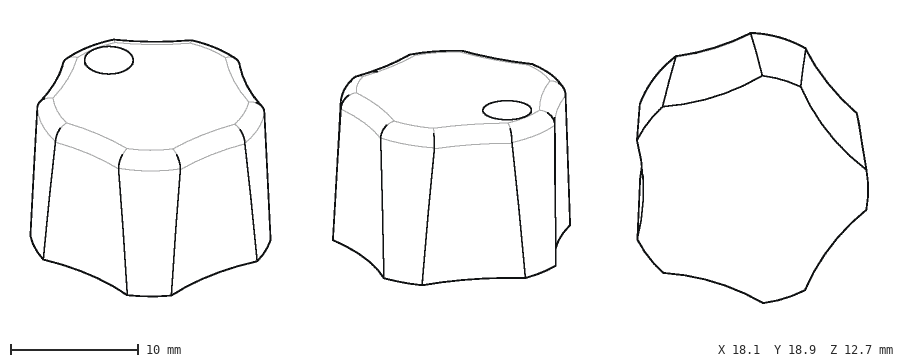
import cadquery as cq
import math

LOBES = 5
HEIGHT = 12.7
BASE_RADIUS = 9.53
DRAFT_ANGLE = 3.0
FLUTE_FLOOR_RADIUS = 8.1
FLUTE_RADIUS = 17.17
ODD_FLUTE_INDEX = 1
ODD_FLUTE_EXTRA_DEPTH = 0.15
ODD_FLUTE_TURN = -0.5
RIM_FILLET = 1.2
DIMPLE_RADIUS = 1.9
DIMPLE_OFFSET = 5.74

lobe_pitch = 360 / LOBES
top_radius = BASE_RADIUS - HEIGHT * math.tan(math.radians(DRAFT_ANGLE))


def tapered_body():
    """Cone frustum that forms the lobe tips."""
    return cq.Workplane(cq.Solid.makeCone(BASE_RADIUS, top_radius, HEIGHT))


def flute(angle, floor_radius):
    """Upright cylinder that scoops one grip flute at the given angle and depth."""
    centre_distance = floor_radius + FLUTE_RADIUS
    return (
        cq.Workplane("XY")
        .center(centre_distance, 0)
        .circle(FLUTE_RADIUS)
        .extrude(HEIGHT)
        .rotate((0, 0, 0), (0, 0, 1), angle)
    )


def finger_dimple():
    """Sphere centred on the top face, leaving a hemispherical dimple."""
    return cq.Workplane("XY").sphere(DIMPLE_RADIUS).translate((-DIMPLE_OFFSET, 0, HEIGHT))


knob = tapered_body()
for index in range(LOBES):
    angle = index * lobe_pitch
    floor_radius = FLUTE_FLOOR_RADIUS
    if index == ODD_FLUTE_INDEX:
        angle += ODD_FLUTE_TURN
        floor_radius -= ODD_FLUTE_EXTRA_DEPTH
    knob = knob.cut(flute(angle, floor_radius))

knob = knob.faces(">Z").edges().fillet(RIM_FILLET)
result = knob.cut(finger_dimple())